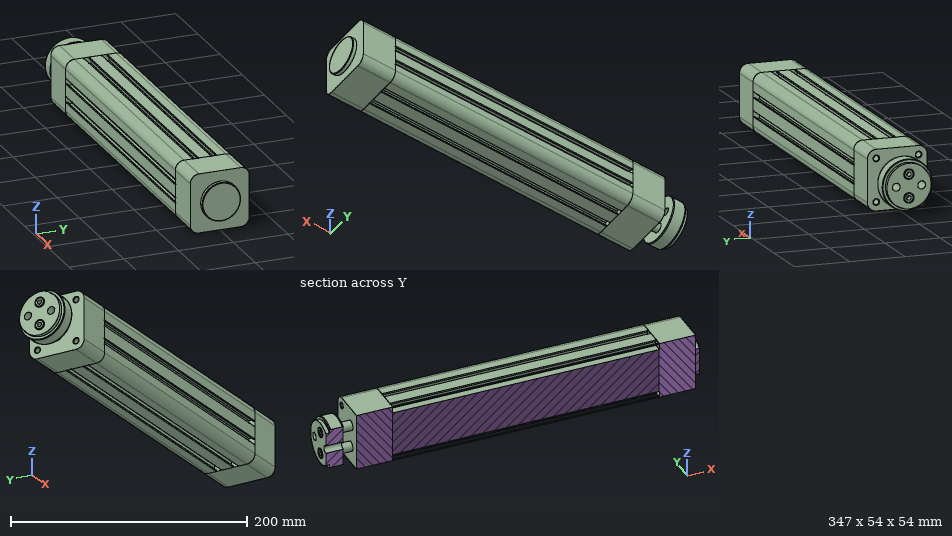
import cadquery as cq

TOTAL_LENGTH = 347.0
FLANGE_GAP = 12.0
CAP_LENGTH = 33.5
COVER_THICKNESS = 3.8

BODY_SIZE = 54.0
CORNER_RADIUS = 8.0

SLOT_OFFSET = 8.5
SLOT_MOUTH_WIDTH = 5.2
SLOT_LIP_THICKNESS = 1.5
SLOT_UNDERCUT = 1.7
SLOT_WIDE_DEPTH = 4.5

SPIGOT_DIAMETER = 40.0
SPIGOT_LENGTH = 3.5
DISC_DIAMETER = 45.0
DISC_THICKNESS = 13.0
DISC_CHAMFER_LENGTH = 1.0
DISC_CHAMFER_HEIGHT = 0.5
TOOL_HOLE_DIAMETER = 7.0
TOOL_HOLE_OFFSET = 11.5

ROD_DIAMETER = 9.0
ROD_OFFSET = 10.5
ROD_HOLE_DIAMETER = 3.8
ROD_HOLE_DEPTH = 7.0
ROD_HOLE_TIP = 1.0
ROD_CHAMFER = 0.7

CORNER_HOLE_DIAMETER = 5.0
CORNER_HOLE_CHAMFER = 0.52
CORNER_HOLE_OFFSET = 19.0
CORNER_HOLE_DEPTH = 10.5

COVER_DIAMETER = 35.0
COVER_CHAMFER = 0.52

FLANGE_LENGTH = SPIGOT_LENGTH + DISC_THICKNESS
FRONT_CAP_START = FLANGE_LENGTH + FLANGE_GAP
PROFILE_START = FRONT_CAP_START + CAP_LENGTH
COVER_START = TOTAL_LENGTH - COVER_THICKNESS
REAR_CAP_START = COVER_START - CAP_LENGTH
PROFILE_LENGTH = REAR_CAP_START - PROFILE_START

ROD_POINTS = [(0, ROD_OFFSET), (0, -ROD_OFFSET)]

def section_plane(x):
    """Plane across the X axis: its local x is Y and its local y is Z."""
    return cq.Workplane("YZ", origin=(x, 0, 0))

def cylinder(x, diameter, length, points=((0, 0),)):
    return section_plane(x).pushPoints(points).circle(diameter / 2).extrude(length)

def body_block(x, length):
    block = section_plane(x).rect(BODY_SIZE, BODY_SIZE).extrude(length)
    return block.edges("|X").fillet(CORNER_RADIUS)

def cone(x, start_diameter, end_diameter, length, point):
    """Cone or frustum along +X whose first circle is centred on point at x."""
    origin = cq.Vector(x, *point)
    return cq.Solid.makeCone(start_diameter / 2, end_diameter / 2, length, origin, cq.Vector(1, 0, 0))

def make_corner_hole(point):
    """Blind screw hole in the front cap with a chamfered rim."""
    rim_diameter = CORNER_HOLE_DIAMETER + 2 * CORNER_HOLE_CHAMFER
    hole = cylinder(FRONT_CAP_START, CORNER_HOLE_DIAMETER, CORNER_HOLE_DEPTH, [point])
    rim = cone(FRONT_CAP_START, rim_diameter, CORNER_HOLE_DIAMETER, CORNER_HOLE_CHAMFER, point)
    return hole.union(cq.Workplane(rim))

def make_front_cap():
    cap = body_block(FRONT_CAP_START, CAP_LENGTH)
    for y in (-CORNER_HOLE_OFFSET, CORNER_HOLE_OFFSET):
        for z in (-CORNER_HOLE_OFFSET, CORNER_HOLE_OFFSET):
            cap = cap.cut(make_corner_hole((y, z)))
    return cap

def make_slot(y):
    """Cutter for one T-slot in the top side of the profile, centred at y."""
    lip_bottom = BODY_SIZE / 2 - SLOT_LIP_THICKNESS
    wide_width = SLOT_MOUTH_WIDTH + 2 * SLOT_UNDERCUT
    wide_centre = lip_bottom - SLOT_WIDE_DEPTH / 2
    mouth_centre = lip_bottom + SLOT_LIP_THICKNESS / 2
    plane = section_plane(PROFILE_START)
    mouth = plane.center(y, mouth_centre).rect(SLOT_MOUTH_WIDTH, SLOT_LIP_THICKNESS).extrude(PROFILE_LENGTH)
    wide_part = plane.center(y, wide_centre).rect(wide_width, SLOT_WIDE_DEPTH).extrude(PROFILE_LENGTH)
    return mouth.union(wide_part)

def make_profile():
    profile = body_block(PROFILE_START, PROFILE_LENGTH)
    for angle in (0, 90, 180, 270):
        for y in (-SLOT_OFFSET, SLOT_OFFSET):
            profile = profile.cut(make_slot(y).rotate((0, 0, 0), (1, 0, 0), angle))
    return profile

def make_rear_cap():
    return body_block(REAR_CAP_START, CAP_LENGTH)

def make_rear_cover():
    return cylinder(COVER_START, COVER_DIAMETER, COVER_THICKNESS).faces(">X").chamfer(COVER_CHAMFER)

def make_flange_blank():
    """Spigot and disc turned about the X axis, the disc chamfered on both rims."""
    spigot_radius = SPIGOT_DIAMETER / 2
    disc_radius = DISC_DIAMETER / 2
    rim_radius = disc_radius - DISC_CHAMFER_HEIGHT
    half_profile = (
        cq.Workplane("XZ")
        .lineTo(0, spigot_radius)
        .lineTo(SPIGOT_LENGTH, spigot_radius)
        .lineTo(SPIGOT_LENGTH, rim_radius)
        .lineTo(SPIGOT_LENGTH + DISC_CHAMFER_LENGTH, disc_radius)
        .lineTo(FLANGE_LENGTH - DISC_CHAMFER_LENGTH, disc_radius)
        .lineTo(FLANGE_LENGTH, rim_radius)
        .lineTo(FLANGE_LENGTH, 0)
        .close()
    )
    return half_profile.revolve(360, (0, 0, 0), (1, 0, 0))

def make_flange():
    flange = make_flange_blank()
    tool_points = [(-TOOL_HOLE_OFFSET, 0), (TOOL_HOLE_OFFSET, 0)]
    tool_holes = cylinder(0, TOOL_HOLE_DIAMETER, FLANGE_LENGTH, tool_points)
    rod_holes = cylinder(0, ROD_DIAMETER, FLANGE_LENGTH, ROD_POINTS)
    return flange.cut(tool_holes).cut(rod_holes)

def make_rod(point):
    """Rod from the outer flange face to the front cap, chamfered and drilled at its outer end."""
    rod = cylinder(0, ROD_DIAMETER, FRONT_CAP_START, [point]).faces("<X").chamfer(ROD_CHAMFER)
    hole = cylinder(0, ROD_HOLE_DIAMETER, ROD_HOLE_DEPTH, [point])
    hole_tip = cone(ROD_HOLE_DEPTH, ROD_HOLE_DIAMETER, 0, ROD_HOLE_TIP, point)
    return rod.cut(hole).cut(cq.Workplane(hole_tip))

flange = make_flange()
front_cap = make_front_cap()
profile = make_profile()
rear_cap = make_rear_cap()
rear_cover = make_rear_cover()
rods = [make_rod(point) for point in ROD_POINTS]

result = cq.Compound.makeCompound(
    [
        flange.val(),
        front_cap.val(),
        profile.val(),
        rear_cap.val(),
        rear_cover.val(),
        *[rod.val() for rod in rods],
    ]
)